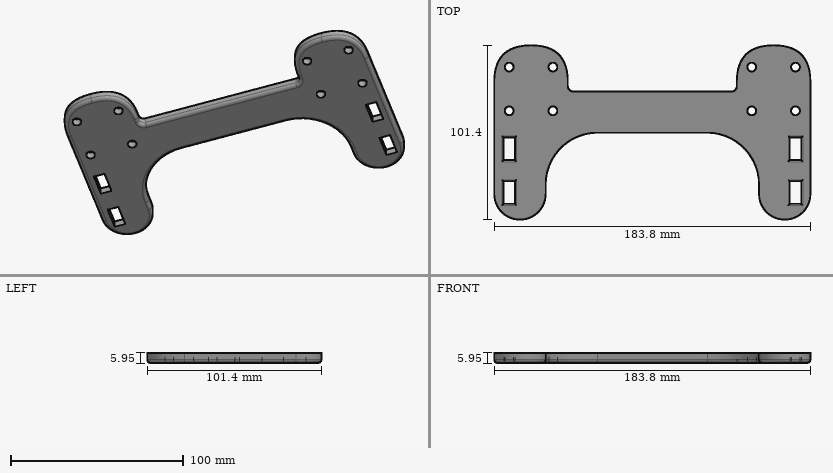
import cadquery as cq

LENGTH = 183.75
WIDTH = 101.35
THICKNESS = 5.95

PITCH = 25.4
HOLE_DIAMETER = 5.0
EDGE_MARGIN = 8.75
LOBE_WIDTH = PITCH + 2 * EDGE_MARGIN
HOLE_TOP_MARGIN = 12.7

LEG_WIDTH = 30.0
LEG_END_RADIUS = LEG_WIDTH / 2
LEG_INNER_RADIUS = 30.0
NOTCH_DEPTH = 26.85
NOTCH_RADIUS = 3.0
BAR_WIDTH = 24.0

SLOT_LENGTH = 13.0
SLOT_WIDTH = 6.5
SLOT_EDGE_RADIUS = 1.0
FIRST_SLOT_DROP = 22.05

BOTTOM_EDGE_RADIUS = 2.2

SIDE_X = LENGTH / 2
TOP_Y = WIDTH / 2
BOTTOM_Y = -WIDTH / 2
LOBE_INNER_X = SIDE_X - LOBE_WIDTH
LOBE_CENTRE_X = SIDE_X - LOBE_WIDTH / 2
LOBE_CORNER_Y = TOP_Y - LOBE_WIDTH / 2
LEG_INNER_X = SIDE_X - LEG_WIDTH
LEG_CENTRE_X = SIDE_X - LEG_END_RADIUS
LEG_ARC_Y = BOTTOM_Y + LEG_END_RADIUS
BAR_TOP_Y = TOP_Y - NOTCH_DEPTH
BAR_BOTTOM_Y = BAR_TOP_Y - BAR_WIDTH
OUTER_HOLE_X = SIDE_X - EDGE_MARGIN
UPPER_HOLE_Y = TOP_Y - HOLE_TOP_MARGIN
LOWER_HOLE_Y = UPPER_HOLE_Y - PITCH
UPPER_SLOT_Y = LOWER_HOLE_Y - FIRST_SLOT_DROP


def half_plate():
    """Right half of the plate; each lobe corner is a parabolic blend instead of an arc."""
    return (
        cq.Workplane("XY")
        .moveTo(0, BAR_TOP_Y)
        .lineTo(LOBE_INNER_X - NOTCH_RADIUS, BAR_TOP_Y)
        .radiusArc((LOBE_INNER_X, BAR_TOP_Y + NOTCH_RADIUS), -NOTCH_RADIUS)
        .lineTo(LOBE_INNER_X, LOBE_CORNER_Y)
        .bezier([(LOBE_INNER_X, TOP_Y), (LOBE_CENTRE_X, TOP_Y)], includeCurrent=True)
        .bezier([(SIDE_X, TOP_Y), (SIDE_X, LOBE_CORNER_Y)], includeCurrent=True)
        .lineTo(SIDE_X, LEG_ARC_Y)
        .threePointArc((LEG_CENTRE_X, BOTTOM_Y), (LEG_INNER_X, LEG_ARC_Y))
        .lineTo(LEG_INNER_X, BAR_BOTTOM_Y - LEG_INNER_RADIUS)
        .radiusArc((LEG_INNER_X - LEG_INNER_RADIUS, BAR_BOTTOM_Y), -LEG_INNER_RADIUS)
        .lineTo(0, BAR_BOTTOM_Y)
        .close()
        .extrude(THICKNESS)
    )


def round_bottom_edge(plate):
    """Round the whole underside rim."""
    return plate.faces("<Z").edges().fillet(BOTTOM_EDGE_RADIUS)


def cut_holes(plate):
    """Cut a square pattern of four through holes in each lobe."""
    inner_hole_x = OUTER_HOLE_X - PITCH
    points = [
        (side * x, y)
        for side in (-1, 1)
        for x in (inner_hole_x, OUTER_HOLE_X)
        for y in (UPPER_HOLE_Y, LOWER_HOLE_Y)
    ]
    holes = cq.Workplane("XY").pushPoints(points).circle(HOLE_DIAMETER / 2).extrude(THICKNESS)
    return plate.cut(holes)


def cut_slots(plate):
    """Cut two rectangular slots in each leg and round over their top rims."""
    points = [
        (side * OUTER_HOLE_X, y)
        for side in (-1, 1)
        for y in (UPPER_SLOT_Y, UPPER_SLOT_Y - PITCH)
    ]
    slots = cq.Workplane("XY").pushPoints(points).rect(SLOT_WIDTH, SLOT_LENGTH).extrude(THICKNESS)
    plate = plate.cut(slots)
    rim_half_width = SLOT_WIDTH / 2 + SLOT_EDGE_RADIUS
    rim_half_length = SLOT_LENGTH / 2 + SLOT_EDGE_RADIUS
    for x, y in points:
        rim = cq.selectors.BoxSelector(
            (x - rim_half_width, y - rim_half_length, THICKNESS - SLOT_EDGE_RADIUS),
            (x + rim_half_width, y + rim_half_length, THICKNESS + SLOT_EDGE_RADIUS),
        )
        plate = plate.edges(rim).fillet(SLOT_EDGE_RADIUS)
    return plate


right_half = half_plate()
blank = right_half.union(right_half.mirror("YZ")).clean()
blank = round_bottom_edge(blank)
result = cut_slots(cut_holes(blank))